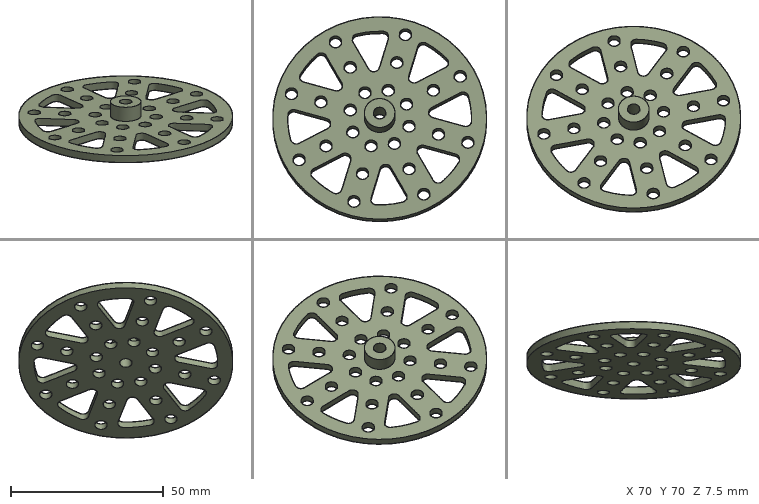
import cadquery as cq
import math

disc_diameter = 70.0
disc_thickness = 2.5
hub_diameter = 10.0
total_height = 7.5

hole_diameter = 4.0
hole_pitch = hub_diameter
ring_count = 3

spoke_count = 8
spoke_angle = 360 / spoke_count
spoke_width = hub_diameter
window_outer_radius = ring_count * hole_pitch
window_corner_radius = 1.9


def polar_point(radius, angle):
    """Point in the XY plane at an angle in degrees from +X."""
    return (radius * math.cos(math.radians(angle)), radius * math.sin(math.radians(angle)))


def make_window():
    """Rounded window between the spoke along +X and the next one."""
    half_width = spoke_width / 2
    middle_angle = spoke_angle / 2
    inner_radius = half_width / math.sin(math.radians(middle_angle))
    edge_angle = math.degrees(math.asin(half_width / window_outer_radius))
    return (
        cq.Workplane("XY")
        .moveTo(*polar_point(inner_radius, middle_angle))
        .lineTo(*polar_point(window_outer_radius, edge_angle))
        .threePointArc(
            polar_point(window_outer_radius, middle_angle),
            polar_point(window_outer_radius, spoke_angle - edge_angle),
        )
        .close()
        .extrude(disc_thickness)
        .edges("|Z")
        .fillet(window_corner_radius)
    )


disc = cq.Workplane("XY").circle(disc_diameter / 2).extrude(disc_thickness)
hub = cq.Workplane("XY").circle(hub_diameter / 2).extrude(total_height)
result = disc.union(hub)

window = make_window()
for spoke in range(spoke_count):
    result = result.cut(window.rotate((0, 0, 0), (0, 0, 1), spoke * spoke_angle))

hole_points = [(0, 0)]
for ring in range(1, ring_count + 1):
    for spoke in range(spoke_count):
        hole_points.append(polar_point(ring * hole_pitch, spoke * spoke_angle))
holes = cq.Workplane("XY").pushPoints(hole_points).circle(hole_diameter / 2).extrude(total_height)
result = result.cut(holes)